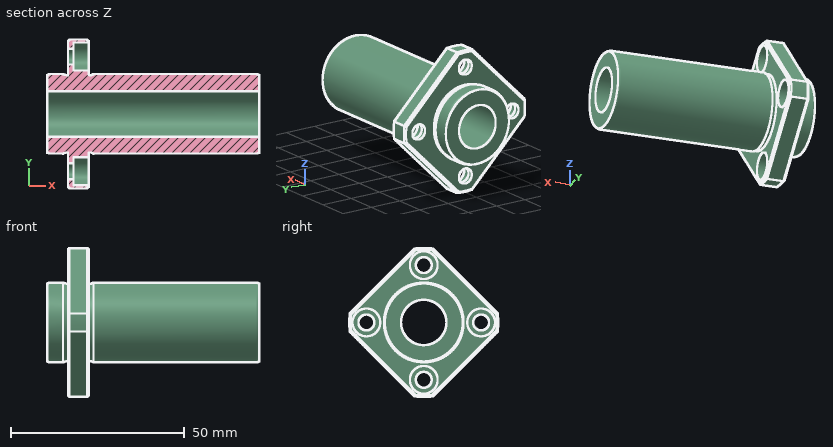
import cadquery as cq
import math

LENGTH = 61.0
BODY_DIAMETER = 23.0
BORE_DIAMETER = 13.0
END_ROUND_LENGTH = 0.75
END_ROUND_DEPTH = 0.3
END_ROUND_RADIUS = 1.8

GROOVE_DEPTH = 0.3
GROOVE_WIDTH = 1.35
FAR_RIM_DEPTH = 0.25
FAR_LOW_POINT = 0.4

FLANGE_START = 5.9
FLANGE_THICKNESS = 6.05
FLANGE_DIAMETER = 42.95
CORNER_WIDTH = 5.25
FLANGE_CHAMFER = 0.5

HOLE_DIAMETER = 4.5
COUNTERBORE_DIAMETER = 8.0
COUNTERBORE_DEPTH = 4.4
HOLE_CIRCLE_DIAMETER = 33.0
HOLE_COUNT = 4

FLANGE_END = FLANGE_START + FLANGE_THICKNESS


def make_sleeve():
    """Revolve the outer profile of the solid sleeve about the X axis."""
    radius = BODY_DIAMETER / 2
    end_radius = radius - END_ROUND_DEPTH
    groove_radius = radius - GROOVE_DEPTH
    near_groove = FLANGE_START - GROOVE_WIDTH
    far_groove = FLANGE_END + GROOVE_WIDTH
    far_low_point = (FLANGE_END + FAR_LOW_POINT, groove_radius)
    far_rim = (FLANGE_END, radius - FAR_RIM_DEPTH)
    profile = (
        cq.Workplane("XY")
        .lineTo(LENGTH, 0)
        .lineTo(LENGTH, end_radius)
        .radiusArc((LENGTH - END_ROUND_LENGTH, radius), -END_ROUND_RADIUS)
        .lineTo(far_groove, radius)
        .threePointArc(far_low_point, far_rim)
        .lineTo(FLANGE_END, groove_radius)
        .lineTo(FLANGE_START, groove_radius)
        .tangentArcPoint((near_groove, radius), relative=False)
        .lineTo(END_ROUND_LENGTH, radius)
        .radiusArc((0, end_radius), -END_ROUND_RADIUS)
        .close()
    )
    return profile.revolve(360, (0, 0, 0), (1, 0, 0))


def make_flange():
    """Trim a square plate to a disc, then chamfer the rims of both faces."""
    half_corner = CORNER_WIDTH / 2
    corner_height = math.sqrt((FLANGE_DIAMETER / 2) ** 2 - half_corner**2)
    square_side = math.sqrt(2) * (corner_height + half_corner)
    start_plane = cq.Workplane("YZ", origin=(FLANGE_START, 0, 0))
    square = (
        start_plane.rect(square_side, square_side)
        .extrude(FLANGE_THICKNESS)
        .rotate((0, 0, 0), (1, 0, 0), 45)
    )
    disc = start_plane.circle(FLANGE_DIAMETER / 2).extrude(FLANGE_THICKNESS)
    return square.intersect(disc).faces("<X or >X").edges().chamfer(FLANGE_CHAMFER)


def make_mounting_holes():
    """Through holes, counterbored from the far face of the flange."""
    circle_radius = HOLE_CIRCLE_DIAMETER / 2
    holes = (
        cq.Workplane("YZ", origin=(FLANGE_START, 0, 0))
        .polarArray(circle_radius, 0, 360, HOLE_COUNT)
        .circle(HOLE_DIAMETER / 2)
        .extrude(FLANGE_THICKNESS)
    )
    counterbores = (
        cq.Workplane("YZ", origin=(FLANGE_END, 0, 0))
        .polarArray(circle_radius, 0, 360, HOLE_COUNT)
        .circle(COUNTERBORE_DIAMETER / 2)
        .extrude(-COUNTERBORE_DEPTH)
    )
    return holes.union(counterbores)


bore = cq.Workplane("YZ").circle(BORE_DIAMETER / 2).extrude(LENGTH)

result = make_flange().cut(make_mounting_holes()).union(make_sleeve()).cut(bore)